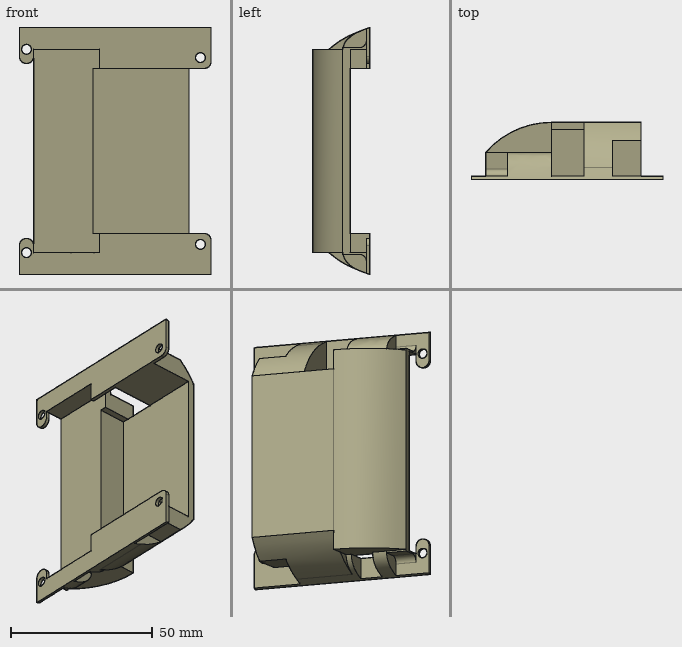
import cadquery as cq
import math

WIDTH = 67.82
DEPTH = 20.32
HALF_HEIGHT = 87.38 / 2

PLATE_THICKNESS = 1.27
CORNER_RADIUS = 2.54
EAR_WIDTH = 5.08
EAR_TIP_Z = 30.86
HOLE_DIAMETER = 3.4
EAR_HOLE_Z = 35.94
PLATE_HOLE_X = WIDTH - 3.81
PLATE_HOLE_Z = 33.0

BODY_LEFT = EAR_WIDTH
RIB_LEFT = 12.8
POCKET_LEFT = 26.0
GRIP_RIGHT = 28.4
NOTCH_RIGHT = 39.8
RECESS_LEFT = 49.95
BODY_RIGHT = 60.05

GRIP_FRONT = 6.94
GRIP_EDGE = 9.65
GRIP_HALF_HEIGHT = 35.94

PANEL_THICKNESS = 2.54
POCKET_HALF_HEIGHT = 29.1

PLATE_TIP = (0, HALF_HEIGHT)
CROWN_SEAM = (4.3, 42.08)
RIB_SHOULDER = (7.0, 40.45)
RIB_BACK = (GRIP_EDGE, GRIP_HALF_HEIGHT)
CROWN_MIDDLE = (13.85, 36.53)
CROWN_BACK = (DEPTH, POCKET_HALF_HEIGHT)
SHELF_Z = CROWN_MIDDLE[1]
SHELF_FILLET = 2.54

PORT_LEFT = 18.2
PORT_RIGHT = 26.4


def box(x0, x1, y0, y1, z0, z1):
    """Axis-aligned box between opposite corners."""
    return cq.Workplane("XY").box(x1 - x0, y1 - y0, z1 - z0, centered=False).translate((x0, y0, z0))


def extrude_along_x(profile, x0, x1):
    """Extrude a closed YZ profile from x0 to x1."""
    return profile.close().extrude(x1 - x0).translate((x0, 0, 0))


def rib_prism():
    """Upper end piece under the rib curve, over the full width and down to the pocket."""
    profile = (
        cq.Workplane("YZ")
        .moveTo(*PLATE_TIP)
        .spline([CROWN_SEAM, RIB_SHOULDER, RIB_BACK], includeCurrent=True)
        .lineTo(GRIP_EDGE, POCKET_HALF_HEIGHT)
        .lineTo(0, POCKET_HALF_HEIGHT)
    )
    return extrude_along_x(profile, 0, WIDTH)


def mounting_plate_with_rib():
    """Upper mounting plate and the rib behind it, with ear, rounded corner and screw holes."""
    left_gap = box(0, RIB_LEFT, PLATE_THICKNESS, GRIP_EDGE, POCKET_HALF_HEIGHT, HALF_HEIGHT)
    right_gap = box(BODY_RIGHT, WIDTH, PLATE_THICKNESS, GRIP_EDGE, POCKET_HALF_HEIGHT, HALF_HEIGHT)
    grip_gap = box(0, GRIP_RIGHT, 0, GRIP_EDGE, POCKET_HALF_HEIGHT, GRIP_HALF_HEIGHT)
    plate = rib_prism().cut(left_gap).cut(right_gap).cut(grip_gap)
    plate = plate.edges("|Y").edges(">X and <Z").fillet(CORNER_RADIUS)
    ear_radius = EAR_WIDTH / 2
    ear_center_z = EAR_TIP_Z + ear_radius
    ear = box(0, EAR_WIDTH, 0, PLATE_THICKNESS, ear_center_z, GRIP_HALF_HEIGHT)
    ear_tip = (
        cq.Workplane("XZ").center(ear_radius, ear_center_z).circle(ear_radius).extrude(-PLATE_THICKNESS)
    )
    holes = (
        cq.Workplane("XZ")
        .pushPoints([(ear_radius, EAR_HOLE_Z), (PLATE_HOLE_X, PLATE_HOLE_Z)])
        .circle(HOLE_DIAMETER / 2)
        .extrude(-PLATE_THICKNESS)
    )
    return plate.union(ear).union(ear_tip).cut(holes)


def left_shelf():
    """Thin shelf over the grip end, blended into the plate by a concave fillet."""
    fillet_y = PLATE_THICKNESS + SHELF_FILLET
    fillet_z = SHELF_Z + SHELF_FILLET
    diagonal = SHELF_FILLET * math.sqrt(0.5)
    profile = (
        cq.Workplane("YZ")
        .moveTo(0, GRIP_HALF_HEIGHT)
        .lineTo(0, fillet_z)
        .lineTo(PLATE_THICKNESS, fillet_z)
        .threePointArc((fillet_y - diagonal, fillet_z - diagonal), (fillet_y, SHELF_Z))
        .lineTo(GRIP_EDGE, SHELF_Z)
        .lineTo(GRIP_EDGE, GRIP_HALF_HEIGHT)
    )
    return extrude_along_x(profile, BODY_LEFT, RIB_LEFT)


def crown_block():
    """Upper half of the body beside the grip, under the crown arc."""
    profile = (
        cq.Workplane("YZ")
        .moveTo(CROWN_SEAM[0], 0)
        .lineTo(*CROWN_SEAM)
        .threePointArc(CROWN_MIDDLE, CROWN_BACK)
        .lineTo(DEPTH, 0)
    )
    return extrude_along_x(profile, GRIP_RIGHT, BODY_RIGHT)


def corner_recess():
    """Step cut into the right end of the crown and rib, down to the shelf."""
    return box(RECESS_LEFT, BODY_RIGHT, PLATE_THICKNESS, DEPTH, SHELF_Z, HALF_HEIGHT)


def grip():
    """Full-height slab whose back is an arc tangent to the rear plane."""
    run = GRIP_RIGHT - BODY_LEFT
    rise = DEPTH - GRIP_EDGE
    radius = (run**2 + rise**2) / (2 * rise)
    half_sweep = math.asin(run / radius) / 2
    arc_middle = (
        GRIP_RIGHT - radius * math.sin(half_sweep),
        DEPTH - radius * (1 - math.cos(half_sweep)),
    )
    return (
        cq.Workplane("XY")
        .moveTo(BODY_LEFT, GRIP_FRONT)
        .lineTo(BODY_LEFT, GRIP_EDGE)
        .threePointArc(arc_middle, (GRIP_RIGHT, DEPTH))
        .lineTo(GRIP_RIGHT, GRIP_FRONT)
        .close()
        .extrude(GRIP_HALF_HEIGHT, both=True)
    )


def pocket():
    """Pocket volume, open to the front and to the right."""
    back = DEPTH - PANEL_THICKNESS
    return box(POCKET_LEFT, BODY_RIGHT, 0, back, -POCKET_HALF_HEIGHT, POCKET_HALF_HEIGHT)


def upper_notch():
    """Opening through the upper end block, from the plate to the rear."""
    return box(GRIP_RIGHT, NOTCH_RIGHT, PLATE_THICKNESS, DEPTH, POCKET_HALF_HEIGHT, HALF_HEIGHT)


def lower_port():
    """Opening through the lower left rib, from the plate to the rear of the rib."""
    return box(PORT_LEFT, PORT_RIGHT, PLATE_THICKNESS, GRIP_EDGE, -HALF_HEIGHT, -GRIP_HALF_HEIGHT)


upper_end = mounting_plate_with_rib().union(left_shelf()).union(crown_block()).cut(corner_recess())
lower_end = upper_end.mirror("XY")

result = (
    grip()
    .union(upper_end.cut(upper_notch()))
    .union(lower_end.cut(lower_port()))
    .cut(pocket())
)